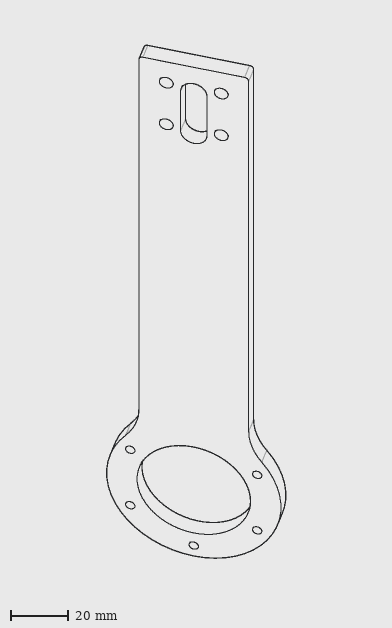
import cadquery as cq
import math

thickness = 6.35
overall_height = 234.95
ring_radius = 31.75
bore_diameter = 41.25
arm_width = 40.0
neck_fillet_radius = 21.6
corner_radius = 1.5

bolt_circle_radius = 26.67
ring_hole_diameter = 3.4
ring_hole_steps = 6
ring_hole_pitch_angle = 360 / ring_hole_steps
arm_direction_angle = 90

mount_hole_diameter = 5.0
mount_hole_pitch = 20.0
top_edge_to_mount_centre = 20.0
slot_width = 9.525
slot_length = 28.575
top_edge_to_slot_centre = 22.225

arm_top = overall_height - ring_radius
mount_centre_height = arm_top - top_edge_to_mount_centre
slot_centre_height = arm_top - top_edge_to_slot_centre


def front_plane():
    """Sketch plane on the -Y face: local x is X, local y is Z."""
    return cq.Workplane("XZ", origin=(0, -thickness / 2, 0))


def polar_point(radius, angle):
    """Point at a radius and an angle in degrees about the ring centre."""
    return (radius * math.cos(math.radians(angle)), radius * math.sin(math.radians(angle)))


def make_plate():
    """Ring disc and arm joined by concave arcs tangent to both, with rounded top corners."""
    half_width = arm_width / 2
    centre_distance = ring_radius + neck_fillet_radius
    fillet_x = half_width + neck_fillet_radius
    fillet_angle = math.degrees(math.acos(fillet_x / centre_distance))
    fillet_z = centre_distance * math.sin(math.radians(fillet_angle))
    ring_touch_x, ring_touch_z = polar_point(ring_radius, fillet_angle)
    mid_offset_x, mid_offset_z = polar_point(neck_fillet_radius, 180 + fillet_angle / 2)
    mid_x = fillet_x + mid_offset_x
    mid_z = fillet_z + mid_offset_z
    outline = (
        front_plane()
        .moveTo(-half_width, arm_top)
        .lineTo(half_width, arm_top)
        .lineTo(half_width, fillet_z)
        .threePointArc((mid_x, mid_z), (ring_touch_x, ring_touch_z))
        .threePointArc((0, -ring_radius), (-ring_touch_x, ring_touch_z))
        .threePointArc((-mid_x, mid_z), (-half_width, fillet_z))
        .close()
    )
    plate = outline.extrude(-thickness)
    return plate.edges("|Y").edges(">Z").fillet(corner_radius)


def make_ring_cuts():
    """Central bore and the ring's five through holes."""
    bore = front_plane().circle(bore_diameter / 2).extrude(-thickness)
    centres = [
        polar_point(bolt_circle_radius, arm_direction_angle + step * ring_hole_pitch_angle)
        for step in range(1, ring_hole_steps)
    ]
    holes = front_plane().pushPoints(centres).circle(ring_hole_diameter / 2).extrude(-thickness)
    return bore.union(holes)


def make_mount_cuts():
    """Upright slot and the square pattern of four through holes around it."""
    slot = (
        front_plane()
        .center(0, slot_centre_height)
        .slot2D(slot_length, slot_width, 90)
        .extrude(-thickness)
    )
    holes = (
        front_plane()
        .center(0, mount_centre_height)
        .rarray(mount_hole_pitch, mount_hole_pitch, 2, 2)
        .circle(mount_hole_diameter / 2)
        .extrude(-thickness)
    )
    return slot.union(holes)


result = make_plate().cut(make_ring_cuts()).cut(make_mount_cuts())